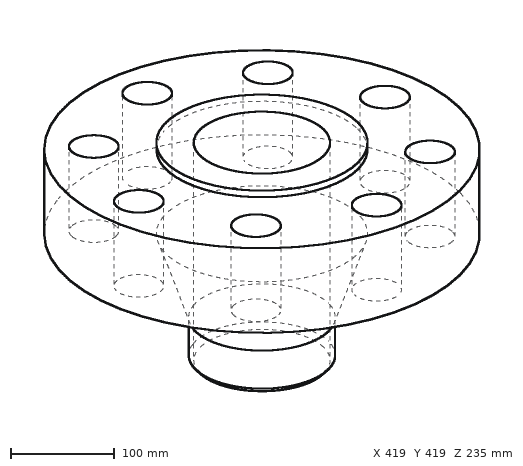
import cadquery as cq

overall_height = 235.0
flange_diameter = 419.0
flange_thickness = 91.5
raised_face_diameter = 203.3
raised_face_height = 7.0
hub_base_diameter = 203.3
neck_diameter = 141.2
neck_length = 46.5
bore_diameter = 131.0
bevel_height = 5.5

bolt_hole_count = 8
bolt_hole_diameter = 47.8
bolt_circle_diameter = 323.5

flange_top = overall_height - raised_face_height
flange_bottom = flange_top - flange_thickness
bolt_angle_step = 360 / bolt_hole_count


def make_body():
    """Revolve the half section around Z; the weld bevel runs out at the bore edge."""
    bore_radius = bore_diameter / 2
    neck_radius = neck_diameter / 2
    section = [
        (bore_radius, 0),
        (neck_radius, bevel_height),
        (neck_radius, neck_length),
        (hub_base_diameter / 2, flange_bottom),
        (flange_diameter / 2, flange_bottom),
        (flange_diameter / 2, flange_top),
        (raised_face_diameter / 2, flange_top),
        (raised_face_diameter / 2, overall_height),
        (bore_radius, overall_height),
    ]
    return cq.Workplane("XZ").polyline(section).close().revolve(360, (0, 0), (0, 1))


def make_bolt_holes():
    """Through-hole cutters, straddling the X and Y axes."""
    return (
        cq.Workplane("XY")
        .workplane(offset=flange_bottom)
        .polarArray(bolt_circle_diameter / 2, bolt_angle_step / 2, 360, bolt_hole_count)
        .circle(bolt_hole_diameter / 2)
        .extrude(flange_thickness)
    )


result = make_body().cut(make_bolt_holes())